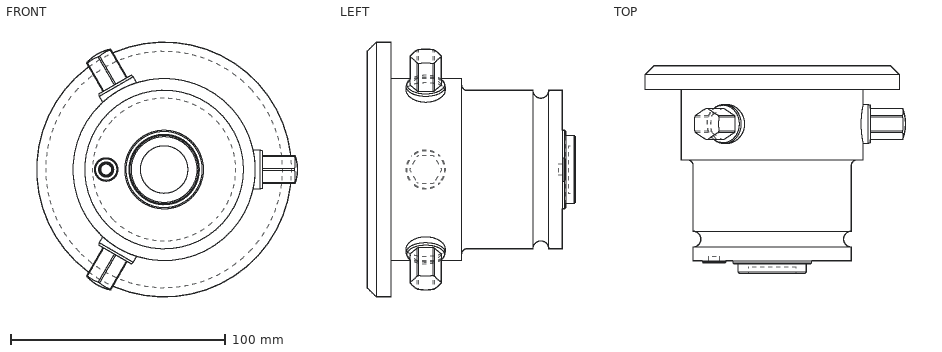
import cadquery as cq
import math


overall_width = 121.7

flange_diameter = 118.9
flange_radius = flange_diameter / 2
flange_depth = 11.2
flange_chamfer = 4.3

hub_radius = 42.5
hub_depth = 44.0
step_fillet = 2.4
body_radius = 37.0
body_depth = 91.0
groove_radius = 3.7
groove_depth = 80.9

sleeve_radius = 18.4
sleeve_bore_radius = 16.4
sleeve_height = 1.6
sleeve_depth = body_depth + sleeve_height
sleeve_chamfer = 0.6
nose_radius = 16.0
nose_depth = 97.0
nose_chamfer = 0.6
nose_bore_radius = 11.1
nose_bore_length = 3.0

tube_offset = 27.0
tube_radius = 5.5
tube_height = 1.1
tube_outer_chamfer = 0.5
tube_mouth_radius = 3.0
tube_mouth_length = 1.0
tube_mouth_chamfer = 0.5
tube_bore_radius = 2.5
tube_bore_length = 3.0

pin_count = 3
pin_depth = 27.3
pin_across_flats = 13.0
pin_corner_radius = 7.3
pin_shoulder = 60.8
pin_tip = overall_width - flange_radius
collar_radius = 9.1
collar_reach = 45.8
collar_chamfer_length = 1.1
collar_chamfer_inset = 0.4
pin_embedment = 6.1
pin_root = hub_radius - pin_embedment


def cylinder(radius, start_depth, end_depth, offset_x=0):
    """Cylinder along -Y between two depths."""
    base = cq.Workplane("XZ", origin=(offset_x, -start_depth, 0))
    return base.circle(radius).extrude(end_depth - start_depth)


def make_flange():
    return cylinder(flange_radius, 0, flange_depth).faces(">Y").chamfer(flange_chamfer)


def make_body():
    """Hub and body turned about Y, with a filleted step and a half-round groove near the nose end."""
    fillet_radius_end = body_radius + step_fillet
    fillet_depth_end = hub_depth + step_fillet
    fillet_sag = step_fillet * (1 - math.sqrt(0.5))
    profile = (
        cq.Workplane("XY")
        .moveTo(0, 0)
        .lineTo(hub_radius, 0)
        .lineTo(hub_radius, -hub_depth)
        .lineTo(fillet_radius_end, -hub_depth)
        .threePointArc(
            (body_radius + fillet_sag, -hub_depth - fillet_sag),
            (body_radius, -fillet_depth_end),
        )
        .lineTo(body_radius, -groove_depth + groove_radius)
        .threePointArc(
            (body_radius - groove_radius, -groove_depth),
            (body_radius, -groove_depth - groove_radius),
        )
        .lineTo(body_radius, -body_depth)
        .lineTo(0, -body_depth)
        .close()
    )
    return profile.revolve(360, (0, 0, 0), (0, 1, 0))


def make_sleeve():
    """Ring around the nose, with its outer and bore edges chamfered."""
    ring = cylinder(sleeve_radius, flange_depth, sleeve_depth).faces("<Y").chamfer(sleeve_chamfer)
    countersink_length = sleeve_bore_radius - nose_radius
    countersink = cq.Workplane("XZ", origin=(0, -sleeve_depth, 0)).circle(sleeve_bore_radius)
    countersink = countersink.extrude(-countersink_length, taper=45)
    return ring.cut(countersink)


def make_nose():
    nose = cylinder(nose_radius, flange_depth, nose_depth).faces("<Y").chamfer(nose_chamfer)
    return nose.cut(cylinder(nose_bore_radius, nose_depth - nose_bore_length, nose_depth))


def make_tube():
    end_depth = body_depth + tube_height
    tube = cylinder(tube_radius, flange_depth, end_depth, -tube_offset)
    return tube.faces("<Y").chamfer(tube_outer_chamfer)


def make_tube_bore():
    """Blind bore with a wider, chamfered mouth."""
    end_depth = body_depth + tube_height
    bore = cylinder(tube_bore_radius, end_depth - tube_bore_length, end_depth, -tube_offset)
    mouth = cylinder(tube_mouth_radius, end_depth - tube_mouth_length, end_depth, -tube_offset)
    countersink = cq.Workplane("XZ", origin=(-tube_offset, -end_depth, 0))
    countersink = countersink.circle(tube_mouth_radius + tube_mouth_chamfer)
    countersink = countersink.extrude(-tube_mouth_chamfer, taper=45)
    return bore.union(mouth).union(countersink)


def make_pin():
    """Pin along +X: a collar and a hexagon with trimmed corners and a domed end."""
    root = cq.Workplane("YZ", origin=(pin_root, -pin_depth, 0))
    collar = root.circle(collar_radius).extrude(collar_reach - pin_root)
    collar = collar.faces(">X").chamfer(collar_chamfer_length, collar_chamfer_inset)

    hexagon_diameter = pin_across_flats / math.cos(math.pi / 6)
    hexagon = root.polygon(6, hexagon_diameter).extrude(pin_tip - pin_root)

    dome_height = pin_tip - pin_shoulder
    dome_radius = (pin_corner_radius**2 + dome_height**2) / (2 * dome_height)
    half_angle = math.asin(pin_corner_radius / dome_radius) / 2
    dome_middle = (
        pin_tip - dome_radius * (1 - math.cos(half_angle)),
        dome_radius * math.sin(half_angle) - pin_depth,
    )
    envelope = (
        cq.Workplane("XY")
        .moveTo(pin_root, -pin_depth)
        .lineTo(pin_root, pin_corner_radius - pin_depth)
        .lineTo(pin_shoulder, pin_corner_radius - pin_depth)
        .threePointArc(dome_middle, (pin_tip, -pin_depth))
        .close()
        .revolve(360, (0, -pin_depth, 0), (1, -pin_depth, 0))
    )
    return collar.union(hexagon.intersect(envelope))


result = make_flange().union(make_body())
pin = make_pin()
for index in range(pin_count):
    angle = index * 360 / pin_count
    result = result.union(pin.rotate((0, 0, 0), (0, 1, 0), angle))
result = result.union(make_sleeve()).union(make_nose())
result = result.union(make_tube()).cut(make_tube_bore())